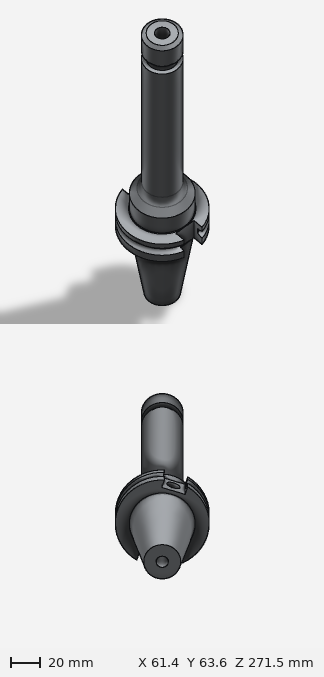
import cadquery as cq
import math

total_height = 271.5
taper_top = 68.0
flange_bottom = 69.2
flange_top = 87.5
groove_floor_bottom = 77.4
groove_floor_top = 81.5
collar_top = 103.5
stem_top = 245.0
throat_height = 248.0
neck_bottom = 249.2
nut_bottom = 253.3
nut_chamfer_height = 2.0

taper_small_radius = 12.5
collar_radius = 22.3
flange_radius = 31.8
groove_floor_radius = 27.5
stem_radius = 14.0
throat_radius = 10.0
neck_radius = 10.9
nut_top_radius = 10.9

foot_height = 0.5
foot_flare = 0.5

groove_wall_height = 1.5

shoulder_arc_radius = 10.0
shoulder_angle = math.radians(45)

bore_radius = 4.0
mouth_radius = 5.2
mouth_depth = 18.2

slot_width = 16.5
left_slot_floor = 25.0
right_slot_floor = 22.5
slot_hole_radius = 4.5
slot_hole_height = 79.3
slot_hole_depth = 4.0


def make_body():
    """Revolve the half section of taper, flange, collar, stem and nut."""
    arc_start_radius = stem_radius + shoulder_arc_radius * (1 - math.cos(shoulder_angle))
    arc_start_height = collar_top + (collar_radius - arc_start_radius) * math.tan(shoulder_angle)
    arc_end_height = arc_start_height + shoulder_arc_radius * math.sin(shoulder_angle)
    half_angle = shoulder_angle / 2
    arc_middle = (
        stem_radius + shoulder_arc_radius * (1 - math.cos(half_angle)),
        arc_end_height - shoulder_arc_radius * math.sin(half_angle),
    )
    foot_radius = collar_radius + foot_flare
    profile = (
        cq.Workplane("XZ")
        .moveTo(0, 0)
        .lineTo(taper_small_radius, 0)
        .lineTo(collar_radius, taper_top)
        .lineTo(collar_radius, flange_bottom)
        .lineTo(flange_radius, flange_bottom)
        .lineTo(flange_radius, groove_floor_bottom - groove_wall_height)
        .lineTo(groove_floor_radius, groove_floor_bottom)
        .lineTo(groove_floor_radius, groove_floor_top)
        .lineTo(flange_radius, groove_floor_top + groove_wall_height)
        .lineTo(flange_radius, flange_top)
        .lineTo(foot_radius, flange_top)
        .lineTo(collar_radius, flange_top + foot_height)
        .lineTo(collar_radius, collar_top)
        .lineTo(arc_start_radius, arc_start_height)
        .threePointArc(arc_middle, (stem_radius, arc_end_height))
        .lineTo(stem_radius, stem_top)
        .lineTo(neck_radius, stem_top)
        .lineTo(throat_radius, throat_height)
        .lineTo(neck_radius, neck_bottom)
        .lineTo(neck_radius, nut_bottom)
        .lineTo(stem_radius, nut_bottom)
        .lineTo(stem_radius, total_height - nut_chamfer_height)
        .lineTo(nut_top_radius, total_height)
        .lineTo(0, total_height)
        .close()
    )
    return profile.revolve(360, (0, 0, 0), (0, 1, 0))


def make_bore():
    """Through bore with a wider mouth in the nut."""
    bore = cq.Workplane("XY").circle(bore_radius).extrude(total_height)
    mouth = (
        cq.Workplane("XY", origin=(0, 0, total_height - mouth_depth))
        .circle(mouth_radius)
        .extrude(mouth_depth)
    )
    return bore.union(mouth)


def make_slot(floor, side):
    """Flat drive slot across the flange and foot; side is -1 or +1 along X."""
    length = flange_radius
    slot_height = flange_top + foot_height - flange_bottom
    return (
        cq.Workplane("XY", origin=(side * (floor + length / 2), 0, flange_bottom))
        .rect(length, slot_width)
        .extrude(slot_height)
    )


def make_slot_hole():
    """Blind round hole in the floor of the left slot."""
    return (
        cq.Workplane("YZ", origin=(-left_slot_floor, 0, slot_hole_height))
        .circle(slot_hole_radius)
        .extrude(slot_hole_depth)
    )


result = (
    make_body()
    .cut(make_slot(left_slot_floor, -1))
    .cut(make_slot(right_slot_floor, 1))
    .cut(make_slot_hole())
    .cut(make_bore())
)